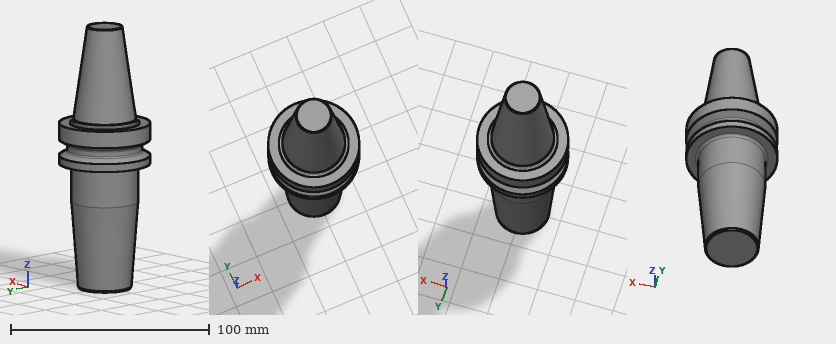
import cadquery as cq
import math

total_length = 134.4
nose_chamfer_height = 1.0
nose_chamfer_width = 0.7
nose_taper_end = 44.5
flange_bottom = 64.1
flange_top = 84.8
groove_center = 72.3
groove_mouth_width = 8.2
relief_bottom = 84.7
neck_top = 86.5
shank_taper_start = 87.0
shank_chamfer = 0.4

nose_radius = 13.6
body_radius = 17.0
flange_radius = 23.0
groove_radius = 19.0
groove_fillet = 1.0
cut_clearance = 1.3
body_fillet = 1.3
relief_outer_radius = 17.6
shank_base_radius = 15.9
neck_radius = 15.7
neck_fillet = 0.5
shank_tip_radius = 9.0

groove_wall_height = (flange_radius - groove_radius) * math.tan(math.radians(30))
groove_bottom = groove_center - groove_mouth_width / 2
groove_top = groove_center + groove_mouth_width / 2


def revolve_profile(profile):
    """Turn a closed (radius, height) profile around the Z axis."""
    return profile.close().revolve(360, (0, 0, 0), (0, 1, 0))


def make_nose_and_body():
    """Tapered nose, cylindrical body and its flare into the flange."""
    return revolve_profile(
        cq.Workplane("XZ")
        .lineTo(nose_radius - nose_chamfer_width, 0)
        .lineTo(nose_radius, nose_chamfer_height)
        .lineTo(body_radius, nose_taper_end)
        .lineTo(body_radius, flange_bottom - body_fillet)
        .radiusArc((body_radius + body_fillet, flange_bottom), body_fillet)
        .lineTo(0, flange_bottom)
    )


def make_flange():
    """Flange with a V-shaped gripper groove whose floor corners are rounded."""
    flange = (
        cq.Workplane("XY")
        .workplane(offset=flange_bottom)
        .circle(flange_radius)
        .extrude(flange_top - flange_bottom)
    )
    outside_radius = flange_radius + cut_clearance
    groove = revolve_profile(
        cq.Workplane("XZ")
        .moveTo(outside_radius, groove_bottom)
        .lineTo(flange_radius, groove_bottom)
        .lineTo(groove_radius, groove_bottom + groove_wall_height)
        .lineTo(groove_radius, groove_top - groove_wall_height)
        .lineTo(flange_radius, groove_top)
        .lineTo(outside_radius, groove_top)
    )
    floor_edges = cq.selectors.RadiusNthSelector(0)
    return flange.cut(groove.edges(floor_edges).fillet(groove_fillet))


def make_relief():
    """Shallow ring recess in the flange face around the shank."""
    return (
        cq.Workplane("XY")
        .workplane(offset=relief_bottom)
        .circle(relief_outer_radius)
        .extrude(flange_top - relief_bottom)
    )


def make_shank():
    """Tapered shank with a short straight neck, flared at the flange face."""
    return revolve_profile(
        cq.Workplane("XZ")
        .moveTo(0, relief_bottom)
        .lineTo(neck_radius + neck_fillet, relief_bottom)
        .radiusArc((neck_radius, relief_bottom + neck_fillet), neck_fillet)
        .lineTo(neck_radius, neck_top)
        .lineTo(shank_base_radius, shank_taper_start)
        .lineTo(shank_tip_radius, total_length - shank_chamfer)
        .lineTo(shank_tip_radius - shank_chamfer, total_length)
        .lineTo(0, total_length)
    )


flange = make_flange().cut(make_relief())
result = make_nose_and_body().union(flange).union(make_shank())